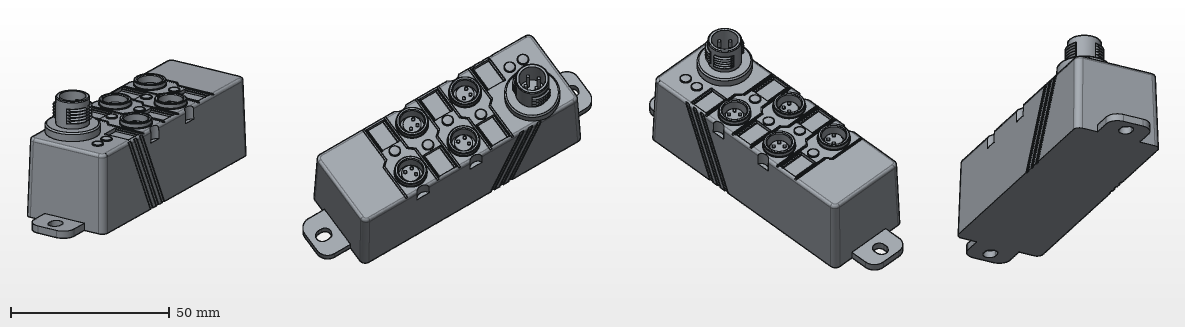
import cadquery as cq
import math

base_width = 30.0
base_length = 83.0
top_width = 28.6
top_length = 81.4
body_height = 26.6
corner_radius = 2.1
rim_radius = 1.0

overall_length = 103.0
tab_width = 15.0
tab_height = 2.5
tab_corner_radius = 4.0
tab_slot_width = 4.2
tab_slot_length = 5.3
tab_slot_y = 46.7

row_pitch = 10.0
first_row_y = 18.5
socket_x = 7.2
socket_rows = 4
label_rows = socket_rows + 1

socket_base_radius = 5.3
socket_foot_height = 0.3
socket_radius = 5.0
socket_chamfer = 0.2
socket_height = 1.8
socket_mouth_radius = 4.2
socket_bore_radius = 3.9
socket_mouth_depth = socket_mouth_radius - socket_bore_radius
socket_bore_depth = 4.1
insert_radius = 2.9
insert_recess = 2.3
small_pin_radius = 0.5
small_pin_height = 0.4
small_pin_offset = 1.2

lamp_radius = 1.9
lamp_dome_radius = 1.6
lamp_height = 0.6
lamp_rim_height = 0.2
lamp_dome_base = 0.4
row_lamp_x = 2.0
power_lamp_x = 7.2
power_lamp_y = -28.3
power_lamp_pitch = row_pitch / 2
power_lamp_count = 2

label_inner_x = 4.2
label_outer_x = top_width / 2 - rim_radius
label_opening = 6.8
label_floor = 5.8
label_depth = 1.2
label_step_depth = 0.6

groove_width = 0.6
groove_depth = 0.3
groove_jog = 0.9
groove_jog_start_x = -0.8
groove_jog_end_x = 0.8

notch_radius = 2.6
notch_center_x = 15.6
notch_floor_z = 22.0

stripe_count = 3
stripe_pitch = 3.3
stripe_width = 1.3
stripe_depth = 0.3
stripe_base_y = -7.4
stripe_run = 11.7

plug_x = -5.5
plug_y = -28.5
flange_radius = 8.8
flange_height = 2.9
flange_chamfer = 0.5
plug_top_z = 38.6
barrel_radius = 5.4
barrel_bore_radius = 4.2
barrel_chamfer = 0.3
bore_floor_z = 29.9
plug_pin_count = 4
plug_pin_radius = 0.5
plug_pin_offset = 2.5
plug_pin_top_z = 36.4

thread_root_radius = 5.6
thread_crest_radius = 6.2
thread_pitch = 1.0
thread_turns = 5
thread_bottom_z = 31.2
thread_sector_angles = (180, 43, -43)
thread_half_angle = 34


def row_y(row):
    return first_row_y - row * row_pitch


def row_side(row):
    """-1 where the row's socket is on the left, +1 where it is on the right."""
    return -1 if row % 2 == 0 else 1


def cylinder(x, y, bottom_z, top_z, radius):
    return cq.Workplane("XY", origin=(x, y, bottom_z)).circle(radius).extrude(top_z - bottom_z)


def centered_box(x, y, bottom_z, top_z, width, length):
    return cq.Workplane("XY", origin=(x, y, bottom_z)).rect(width, length).extrude(top_z - bottom_z)


def drafted_block(inset):
    """Loft of the housing with its side walls moved inward by the inset."""
    base = cq.Sketch().rect(base_width - 2 * inset, base_length).vertices().fillet(corner_radius)
    top = cq.Sketch().rect(top_width - 2 * inset, top_length).vertices().fillet(corner_radius)
    return cq.Workplane("XY").placeSketch(base, top.moved(cq.Location((0, 0, body_height)))).loft()


def mounting_plate():
    plate = centered_box(0, 0, 0, tab_height, tab_width, overall_length)
    plate = plate.edges("|Z").fillet(tab_corner_radius)
    slots = (
        cq.Workplane("XY")
        .pushPoints([(0, tab_slot_y), (0, -tab_slot_y)])
        .slot2D(tab_slot_length, tab_slot_width, 90)
        .extrude(tab_height)
    )
    return plate.cut(slots)


def side_stripes():
    """Slanted bars cut to a shallow skin along both side walls."""
    bars = cq.Workplane("YZ", origin=(-base_width / 2, 0, 0))
    for index in range(stripe_count):
        y = stripe_base_y - index * stripe_pitch
        bars = bars.polyline(
            [
                (y + stripe_width / 2, 0),
                (y - stripe_width / 2, 0),
                (y - stripe_width / 2 - stripe_run, body_height),
                (y + stripe_width / 2 - stripe_run, body_height),
            ]
        ).close()
    return bars.extrude(base_width).cut(drafted_block(stripe_depth))


def parting_groove(boundary):
    """Jogged groove on the border above row number 'boundary'."""
    y = row_y(boundary) + row_pitch / 2
    jog = -row_side(boundary) * groove_jog
    half = groove_width / 2
    end_x = base_width / 2
    route = [
        (-end_x, y + jog),
        (groove_jog_start_x, y + jog),
        (groove_jog_end_x, y - jog),
        (end_x, y - jog),
    ]
    outline = [(px, py + half) for px, py in route] + [(px, py - half) for px, py in reversed(route)]
    floor = cq.Workplane("XY", origin=(0, 0, body_height - groove_depth))
    return floor.polyline(outline).close().extrude(groove_depth)


def label_pocket(row):
    """Pocket on the side opposite the socket, narrowing in one step to its floor."""
    x = -row_side(row) * (label_inner_x + label_outer_x) / 2
    width = label_outer_x - label_inner_x
    opening = centered_box(x, row_y(row), body_height - label_step_depth, body_height, width, label_opening)
    return opening.union(
        centered_box(x, row_y(row), body_height - label_depth, body_height, width, label_floor)
    )


def finger_notch(row):
    return cylinder(row_side(row) * notch_center_x, row_y(row), notch_floor_z, body_height, notch_radius)


def lamp(x, y):
    """Low round lens: a bevelled rim topped by a shallow dome."""
    dome_rise = lamp_height - lamp_dome_base
    sphere_radius = (lamp_dome_radius**2 + dome_rise**2) / (2 * dome_rise)
    half_angle = math.asin(lamp_dome_radius / sphere_radius) / 2
    sphere_center_z = lamp_height - sphere_radius
    dome_mid = (sphere_radius * math.sin(half_angle), sphere_center_z + sphere_radius * math.cos(half_angle))
    profile = (
        cq.Workplane("XZ")
        .lineTo(lamp_radius, 0)
        .lineTo(lamp_radius, lamp_rim_height)
        .lineTo(lamp_dome_radius, lamp_dome_base)
        .threePointArc(dome_mid, (0, lamp_height))
        .close()
    )
    return profile.revolve(360, (0, 0), (0, 1)).translate((x, y, body_height))


def socket_ring(row):
    """Raised collar with a wider foot and a chamfered top edge; its core is hollowed separately."""
    profile = [
        (0, 0),
        (socket_base_radius, 0),
        (socket_base_radius, socket_foot_height),
        (socket_radius, socket_foot_height),
        (socket_radius, socket_height - socket_chamfer),
        (socket_radius - socket_chamfer, socket_height),
        (0, socket_height),
    ]
    collar = cq.Workplane("XZ").polyline(profile).close().revolve(360, (0, 0), (0, 1))
    return collar.translate((row_side(row) * socket_x, row_y(row), body_height))


def socket_bore(row):
    """Ring-shaped hollow left open around the central insert."""
    profile = [
        (0, 0),
        (socket_mouth_radius, 0),
        (socket_bore_radius, -socket_mouth_depth),
        (socket_bore_radius, -socket_bore_depth),
        (insert_radius, -socket_bore_depth),
        (insert_radius, -insert_recess),
        (0, -insert_recess),
    ]
    hollow = cq.Workplane("XZ").polyline(profile).close().revolve(360, (0, 0), (0, 1))
    return hollow.translate((row_side(row) * socket_x, row_y(row), body_height + socket_height))


def socket_pins(row):
    """Three pins in an L; the empty corner points away from the housing's middle."""
    side = row_side(row)
    corners = [(-side, 1), (-side, -1), (side, -1)]
    base_z = body_height + socket_height - insert_recess
    pins = cq.Workplane("XY", origin=(side * socket_x, row_y(row), base_z))
    pins = pins.pushPoints([(cx * small_pin_offset, cy * small_pin_offset) for cx, cy in corners])
    return pins.circle(small_pin_radius).extrude(small_pin_height)


def thread_sector(angle):
    """Wedge reaching beyond the crest, used to keep one stretch of thread."""
    reach = 2 * thread_crest_radius
    ends = [math.radians(angle + turn) for turn in (-thread_half_angle, thread_half_angle)]
    points = [(reach * math.cos(end), reach * math.sin(end)) for end in ends]
    wedge = cq.Workplane("XY", origin=(0, 0, thread_bottom_z)).polyline([(0, 0)] + points).close()
    return wedge.extrude(thread_turns * thread_pitch)


def barrel_thread():
    """Toothed rings, kept within the thread sectors and cut flush with the barrel's +Y and -Y sides."""
    thread_top_z = thread_bottom_z + thread_turns * thread_pitch
    profile = [(barrel_bore_radius, thread_bottom_z), (thread_root_radius, thread_bottom_z)]
    for turn in range(thread_turns):
        tooth_z = thread_bottom_z + turn * thread_pitch
        profile.append((thread_crest_radius, tooth_z + thread_pitch / 2))
        profile.append((thread_root_radius, tooth_z + thread_pitch))
    profile.append((barrel_bore_radius, thread_top_z))
    rings = cq.Workplane("XZ").polyline(profile).close().revolve(360, (0, 0), (0, 1))
    sectors = thread_sector(thread_sector_angles[0])
    for angle in thread_sector_angles[1:]:
        sectors = sectors.union(thread_sector(angle))
    flush_slab = centered_box(0, 0, thread_bottom_z, thread_top_z, 2 * thread_crest_radius, 2 * barrel_radius)
    return rings.intersect(sectors).intersect(flush_slab).translate((plug_x, plug_y, 0))


def plug():
    """Flange, threaded barrel and pins; the flange reaches down past the rounded rim of the housing."""
    flange_top_z = body_height + flange_height
    flange = cylinder(plug_x, plug_y, body_height - rim_radius, flange_top_z, flange_radius)
    flange = flange.faces(">Z").chamfer(flange_chamfer)
    barrel = cylinder(plug_x, plug_y, body_height, plug_top_z, barrel_radius)
    barrel = barrel.faces(">Z").chamfer(barrel_chamfer)
    bore = cylinder(plug_x, plug_y, bore_floor_z, plug_top_z, barrel_bore_radius)
    pins = (
        cq.Workplane("XY", origin=(plug_x, plug_y, bore_floor_z))
        .polarArray(plug_pin_offset, 0, 360, plug_pin_count)
        .circle(plug_pin_radius)
        .extrude(plug_pin_top_z - bore_floor_z)
    )
    return flange.union(barrel).union(barrel_thread()).cut(bore).union(pins)


body = drafted_block(0).faces(">Z").edges().fillet(rim_radius)
body = body.cut(side_stripes())
body = body.union(mounting_plate())

for boundary in range(label_rows):
    body = body.cut(parting_groove(boundary))

for row in range(label_rows):
    body = body.cut(label_pocket(row))

for row in range(socket_rows):
    body = body.cut(finger_notch(row))
    body = body.union(socket_ring(row))
    body = body.cut(socket_bore(row))
    body = body.union(socket_pins(row))
    body = body.union(lamp(-row_side(row) * row_lamp_x, row_y(row)))

for index in range(power_lamp_count):
    body = body.union(lamp(power_lamp_x, power_lamp_y - index * power_lamp_pitch))

result = body.union(plug())